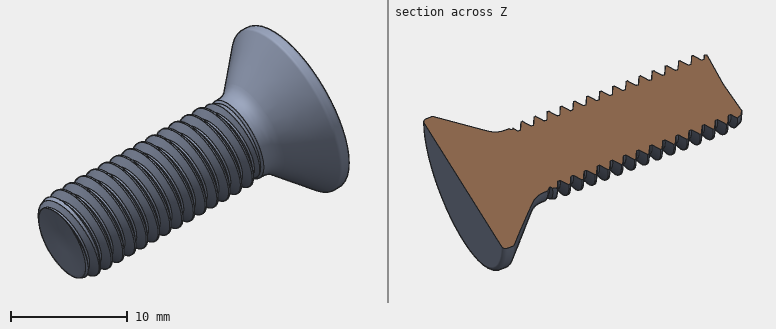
import cadquery as cq
import math


length = 25.0

head_radius = 7.9
rim_height = 1.0
rim_top_fillet = 0.4
rim_cone_fillet = 0.33

corner_reach = math.tan(math.radians(45 / 2))

neck_radius = 3.8
neck_fillet = 2.0
neck_end = 6.25

pitch = 1.25
thread_radius = 4.0
sharp_height = pitch * math.sqrt(3) / 2
thread_depth = sharp_height * 17 / 24
root_radius = thread_radius - thread_depth
flank_slope = math.tan(math.radians(30))
crest_width = pitch / 8
root_width = pitch - crest_width - 2 * thread_depth * flank_slope
crest_depth_at_plus_x = 7.58

end_radius = 3.53
end_taper_angle = 22.5
end_taper_length = (thread_radius - end_radius) / math.tan(math.radians(end_taper_angle))
runout_length = neck_radius - root_radius

dish_radius = 3.3
dish_depth = 0.15


def revolve_about_y(profile):
    return profile.close().revolve(360, (0, 0, 0), (0, 1, 0))


def make_head():
    """Rim, 45 degree cone, neck and thread run-out, with rounded rim and neck transitions."""
    cone_end = rim_height + head_radius - neck_radius

    blend_reach = neck_fillet * corner_reach
    diagonal_reach = blend_reach * math.sqrt(0.5)
    blend_start = (neck_radius + diagonal_reach, diagonal_reach - cone_end)
    blend_end = (neck_radius, -cone_end - blend_reach)

    rim_reach = rim_cone_fillet * corner_reach
    rim_diagonal = rim_reach * math.sqrt(0.5)
    rim_end = (head_radius, rim_reach - rim_height)
    cone_start = (head_radius - rim_diagonal, -rim_height - rim_diagonal)

    profile = (
        cq.Workplane("XY")
        .lineTo(head_radius - rim_top_fillet, 0)
        .radiusArc((head_radius, -rim_top_fillet), rim_top_fillet)
        .lineTo(*rim_end)
        .radiusArc(cone_start, rim_cone_fillet)
        .lineTo(*blend_start)
        .radiusArc(blend_end, -neck_fillet)
        .lineTo(neck_radius, -neck_end)
        .lineTo(root_radius, -neck_end - runout_length)
        .lineTo(0, -neck_end - runout_length)
    )
    return revolve_about_y(profile)


def make_shank_envelope():
    """Crest outline of the shank, tapered at both ends, with the dished tip face."""
    profile = (
        cq.Workplane("XY")
        .moveTo(0, -neck_end)
        .lineTo(end_radius, -neck_end)
        .lineTo(thread_radius, -neck_end - end_taper_length)
        .lineTo(thread_radius, end_taper_length - length)
        .lineTo(end_radius, -length)
        .lineTo(dish_radius, -length)
        .lineTo(0, dish_depth - length)
    )
    return revolve_about_y(profile)


def make_thread_groove():
    """Right-handed helical groove that runs past both ends of the shank."""
    overlap = 0.1
    groove_start = crest_depth_at_plus_x - 1.5 * pitch
    turns = math.ceil((length - groove_start) / pitch) + 1
    run = turns * pitch
    groove_end = groove_start + run

    half_root = root_width / 2
    half_mouth = half_root + (thread_depth + overlap) * flank_slope
    helix = cq.Workplane(cq.Wire.makeHelix(pitch, run, root_radius))
    groove = (
        cq.Workplane("XZ")
        .moveTo(root_radius, -half_root)
        .lineTo(thread_radius + overlap, -half_mouth)
        .lineTo(thread_radius + overlap, half_mouth)
        .lineTo(root_radius, half_root)
        .close()
        .sweep(helix, isFrenet=True)
    )
    return groove.rotate((0, 0, 0), (1, 0, 0), -90).translate((0, -groove_end, 0))


def make_threaded_rod():
    """Crest-size rod longer than the groove at both ends, with the thread cut into it."""
    rod_length = length + 5 * pitch
    rod = cq.Workplane("XZ").circle(thread_radius).extrude(rod_length)
    return rod.cut(make_thread_groove())


result = make_threaded_rod().intersect(make_shank_envelope()).union(make_head())